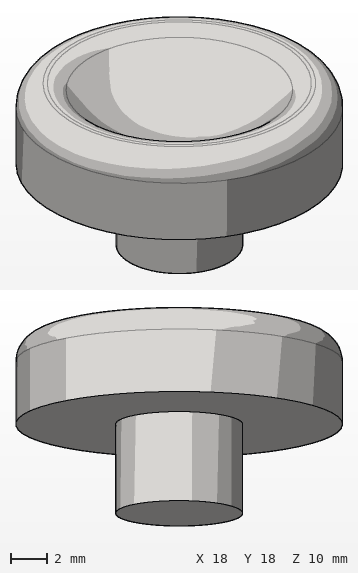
import cadquery as cq
import math

head_diameter = 18.0
stem_diameter = 7.0
head_height = 5.0
stem_height = 5.0
edge_radius = 1.5
rim_inner_radius = 7.27
dish_radius = head_diameter / 2

head_radius = head_diameter / 2
stem_radius = stem_diameter / 2
top_z = stem_height + head_height
round_center_z = top_z - edge_radius
rim_outer_radius = head_radius - edge_radius

center_distance = dish_radius + edge_radius
dish_center_z = round_center_z + math.sqrt(center_distance**2 - rim_inner_radius**2)
dish_slope = math.asin(rim_inner_radius / center_distance)


def polar_point(center_r, center_z, radius, angle):
    """Point on a profile circle, with the angle measured from +Z toward +R."""
    return (center_r + radius * math.sin(angle), center_z + radius * math.cos(angle))


outer_round_middle = polar_point(rim_outer_radius, round_center_z, edge_radius, math.pi / 4)
inner_round_middle = polar_point(rim_inner_radius, round_center_z, edge_radius, -dish_slope / 2)
dish_edge = polar_point(rim_inner_radius, round_center_z, edge_radius, -dish_slope)
dish_middle = polar_point(0, dish_center_z, dish_radius, math.pi - dish_slope / 2)
dish_bottom = (0, dish_center_z - dish_radius)

profile = (
    cq.Workplane("XZ")
    .moveTo(0, 0)
    .lineTo(stem_radius, 0)
    .lineTo(stem_radius, stem_height)
    .lineTo(head_radius, stem_height)
    .lineTo(head_radius, round_center_z)
    .threePointArc(outer_round_middle, (rim_outer_radius, top_z))
    .lineTo(rim_inner_radius, top_z)
    .threePointArc(inner_round_middle, dish_edge)
    .threePointArc(dish_middle, dish_bottom)
    .close()
)
result = profile.revolve(360, (0, 0, 0), (0, 1, 0))